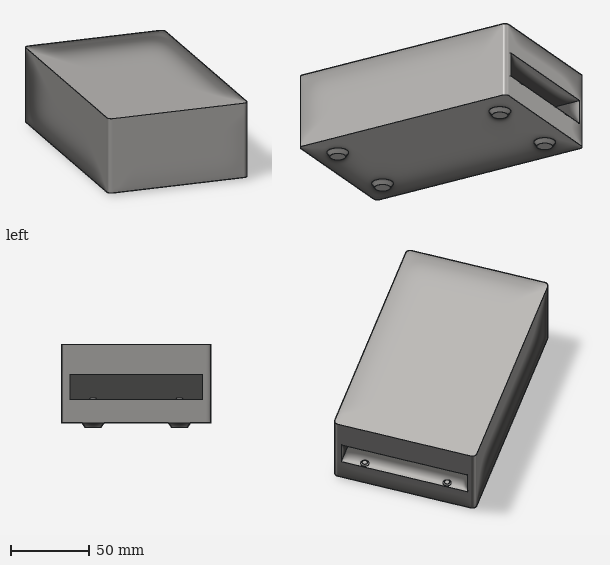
import cadquery as cq

length = 155.0
width = 95.0
height = 50.0
corner_radius = 3.0

wall = 5.3
slot_floor = 14.9
slot_height = 16.1
slot_width = width - 2 * wall
slot_depth = length - wall

foot_top_diameter = 14.0
foot_bottom_diameter = 10.0
foot_height = 3.0
foot_end_inset = 17.0
foot_side_inset = 20.0
foot_x = length / 2 - foot_end_inset
foot_y = width / 2 - foot_side_inset

bump_base_diameter = 5.3
bump_top_diameter = 3.4
bump_height = 1.0
bump_end_inset = 3.3
bump_x = -length / 2 + bump_end_inset


def tapered_disc(bottom_diameter, top_diameter, disc_height):
    """Truncated cone standing on Z = 0."""
    return cq.Workplane(cq.Solid.makeCone(bottom_diameter / 2, top_diameter / 2, disc_height))


def make_housing():
    block = (
        cq.Workplane("XY")
        .box(length, width, height, centered=(True, True, False))
        .edges("|Z")
        .fillet(corner_radius)
    )
    slot = (
        cq.Workplane("XY")
        .box(slot_depth, slot_width, slot_height, centered=(False, True, False))
        .translate((-length / 2, 0, slot_floor))
    )
    body = block.cut(slot)
    for y in (-foot_y, foot_y):
        bump = tapered_disc(bump_base_diameter, bump_top_diameter, bump_height)
        body = body.union(bump.translate((bump_x, y, slot_floor)))
    return body


def make_foot(x, y):
    """Foot hanging from the housing underside, narrowing downwards."""
    foot = tapered_disc(foot_bottom_diameter, foot_top_diameter, foot_height)
    return foot.translate((x, y, -foot_height))


housing = make_housing()
feet = [make_foot(x, y) for x in (-foot_x, foot_x) for y in (-foot_y, foot_y)]

result = cq.Compound.makeCompound([housing.val(), *[foot.val() for foot in feet]])